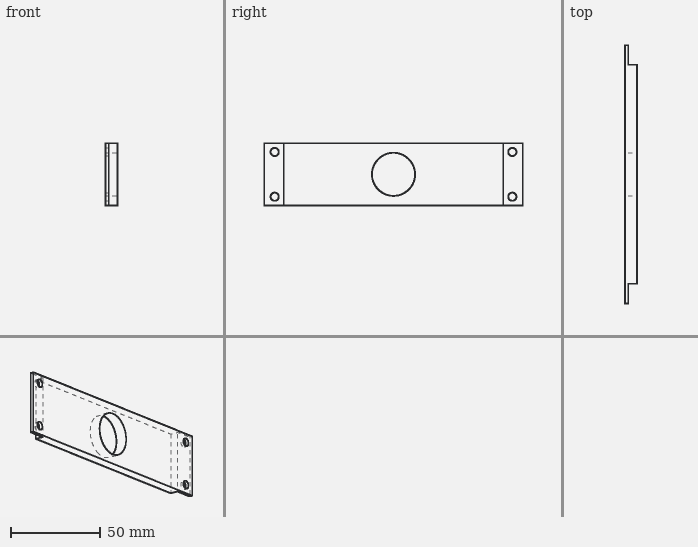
import cadquery as cq

length = 144.8
height = 35.0
total_depth = 7.0
plate_thickness = 2.0
block_length = 122.8

bore_diameter = 24.0
screw_diameter = 4.5
screw_spacing_y = 133.0
screw_spacing_z = 25.0

plate = cq.Workplane("XY").box(plate_thickness, length, height, centered=(False, True, True))
block = cq.Workplane("XY").box(total_depth, block_length, height, centered=(False, True, True))
body = plate.union(block)

bore = cq.Workplane("YZ").circle(bore_diameter / 2).extrude(total_depth)

screw_holes = (
    cq.Workplane("YZ")
    .rect(screw_spacing_y, screw_spacing_z, forConstruction=True)
    .vertices()
    .circle(screw_diameter / 2)
    .extrude(plate_thickness)
)

result = body.cut(bore).cut(screw_holes)